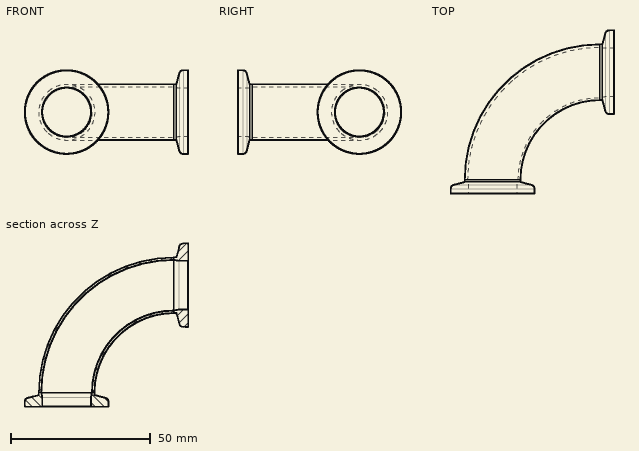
import cadquery as cq
import math

overall_size = 58.5
flange_diameter = 30.0
flange_radius = flange_diameter / 2
tube_radius = 10.0
tube_bore_radius = 9.0

flange_bore_radius = 8.65
flange_length = 5.15
rim_sharp_length = 3.0
cone_angle = 15.0
rim_fillet = 1.5
face_chamfer = 0.2
bore_straight_length = 3.45

half_size = overall_size / 2
flange_axis = half_size - flange_radius
bend_radius = overall_size - flange_radius - flange_length
cone_end = rim_sharp_length + (flange_radius - tube_radius) * math.tan(math.radians(cone_angle))


def make_flange():
    """Flange with its sealing face on the XY plane and its neck along +Z."""
    profile = [
        (flange_bore_radius, face_chamfer),
        (flange_bore_radius + face_chamfer, 0),
        (flange_radius - face_chamfer, 0),
        (flange_radius, face_chamfer),
        (flange_radius, rim_sharp_length),
        (tube_radius, cone_end),
        (tube_radius, flange_length),
        (tube_bore_radius, flange_length),
        (flange_bore_radius, bore_straight_length),
    ]
    body = cq.Workplane("XZ").polyline(profile).close().revolve(360, (0, 0, 0), (0, 1, 0))
    rim_edge = max(body.edges("%CIRCLE").vals(), key=lambda edge: (edge.radius(), edge.Center().z))
    return body.newObject([rim_edge]).fillet(rim_fillet)


def make_elbow():
    """Quarter-turn tube joining the necks of the two flanges."""
    elbow_start_y = -half_size + flange_length
    return (
        cq.Workplane("XZ", origin=(-flange_axis, elbow_start_y, 0))
        .circle(tube_radius)
        .circle(tube_bore_radius)
        .revolve(90, (bend_radius, 0, 0), (bend_radius, -1, 0))
    )


flange_places = [
    ((1, 0, 0), (-flange_axis, -half_size, 0)),
    ((0, 1, 0), (half_size, flange_axis, 0)),
]

elbow = make_elbow()
flanges = []
for turn_axis, face_center in flange_places:
    flange = make_flange().rotate((0, 0, 0), turn_axis, -90).translate(face_center)
    flanges.append(flange.val())

result = cq.Compound.makeCompound([elbow.val(), *flanges])